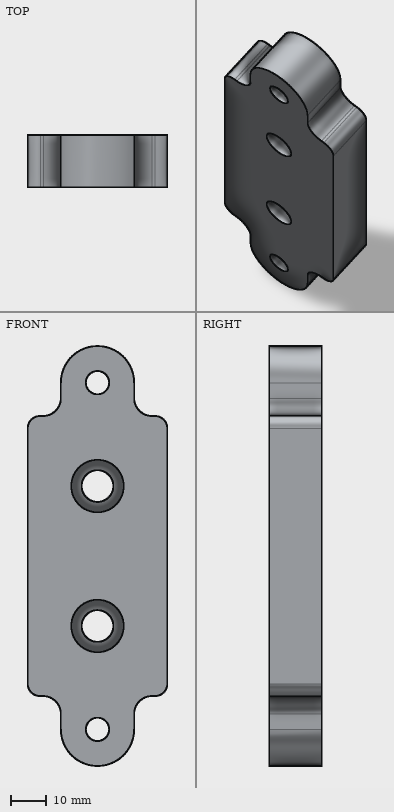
import cadquery as cq

length = 120.0
width = 40.0
thickness = 15.0
body_length = 80.0

ear_width = 21.0
ear_radius = ear_width / 2
ear_center_z = length / 2 - ear_radius
ear_hole_diameter = 6.6

corner_radius = 3.6
neck_radius = 5.0

bore_spacing = 40.0
bore_diameter = 9.0
counterbore_diameter = 15.0
counterbore_depth = 9.0


def plate_prism(x_size, z_size):
    """Rectangular block centred on the origin, as thick as the plate."""
    return cq.Workplane("XY").box(x_size, thickness, z_size)


def cylinder(diameter, z, depth):
    """Cylinder running from the -Y face into the plate."""
    front = cq.Workplane("XZ", origin=(0, -thickness / 2, z))
    return front.circle(diameter / 2).extrude(-depth)


body = plate_prism(width, body_length).edges("|Y").fillet(corner_radius)

result = body.union(plate_prism(ear_width, 2 * ear_center_z))
neck_points = [
    (side * ear_radius, 0, end * body_length / 2) for side in (-1, 1) for end in (-1, 1)
]
for point in neck_points:
    result = result.edges(cq.selectors.NearestToPointSelector(point)).fillet(neck_radius)

for end in (-1, 1):
    ear_z = end * ear_center_z
    result = result.union(cylinder(ear_width, ear_z, thickness))
    result = result.cut(cylinder(ear_hole_diameter, ear_z, thickness))

    bore_z = end * bore_spacing / 2
    result = result.cut(cylinder(bore_diameter, bore_z, thickness))
    result = result.cut(cylinder(counterbore_diameter, bore_z, counterbore_depth))